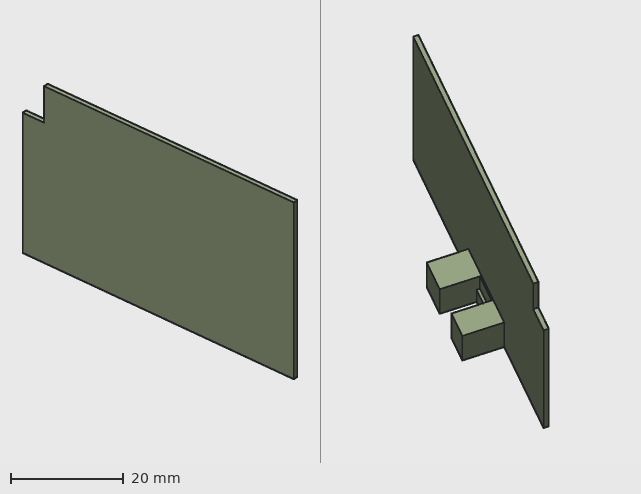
import cadquery as cq

plate_length = 62.9
plate_height = 37.75
plate_thickness = 1.0

notch_length = 5.0
notch_height = 7.8

block_start = 19.0
block_length = 17.25
block_height = 7.55
total_depth = 9.0
block_depth = total_depth - plate_thickness

slot_start = 24.3
slot_length = 5.65
web_thickness = 0.3
ledge_depth = 0.6
ledge_height = block_height / 2


def box_from_corner(size, corner):
    """Box with its lowest X, Y, Z corner at the given point."""
    return cq.Workplane("XY").box(*size, centered=False).translate(corner)


plate = box_from_corner((plate_length, plate_thickness, plate_height), (0, 0, 0))
notch = box_from_corner(
    (notch_length, plate_thickness, notch_height),
    (0, 0, plate_height - notch_height),
)

block = box_from_corner(
    (block_length, block_depth, block_height),
    (block_start, plate_thickness, 0),
)
web_back = plate_thickness + web_thickness
slot = box_from_corner(
    (slot_length, total_depth - web_back, block_height),
    (slot_start, web_back, 0),
)
ledge = box_from_corner(
    (slot_length, ledge_depth, ledge_height),
    (slot_start, web_back, 0),
)

result = plate.cut(notch).union(block.cut(slot).union(ledge))